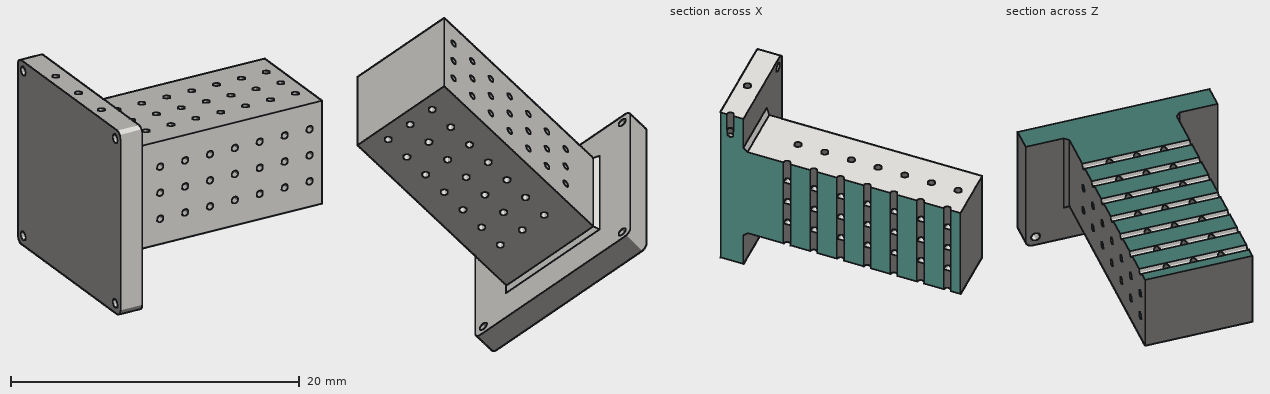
import cadquery as cq
import math

total_length = 18.0
flange_side = 14.11
flange_thickness = 1.75
flange_corner_radius = 0.5

column_side = 7.9
flare_size = 0.3

mount_hole_diameter = 0.65
mount_hole_spacing = 12.64

grid_hole_diameter = 0.5
grid_pitch = 2.0
grid_rows = 7
grid_columns = 3
grid_end_margin = 1.0

edge_hole_diameter = 0.5
edge_hole_drill_diameter = 0.43
edge_hole_pitch = 3.13
edge_hole_count = 3
edge_hole_front_offset = 0.75
edge_hole_step_depth = 1.5
edge_hole_drill_depth = 2.0
drill_point_angle = 118.0


def make_flange():
    """Square plate with rounded corners, front face on Y = 0."""
    plate = cq.Workplane("XY").box(
        flange_side, flange_thickness, flange_side, centered=(True, False, True)
    )
    return plate.edges("|Y").fillet(flange_corner_radius)


def make_column():
    """Square column running from the flange to the far end."""
    return (
        cq.Workplane("XZ", origin=(0, flange_thickness, 0))
        .rect(column_side, column_side)
        .extrude(flange_thickness - total_length)
    )


def make_flare():
    """Short four-sided 45 degree taper that widens the column where it meets the flange."""
    foot_side = column_side + 2 * flare_size
    return (
        cq.Workplane("XZ", origin=(0, flange_thickness, 0))
        .rect(foot_side, foot_side)
        .workplane(offset=-flare_size)
        .rect(column_side, column_side)
        .loft(ruled=True)
    )


def make_mount_holes():
    """Four holes through the flange, one near each corner."""
    return (
        cq.Workplane("XZ")
        .rect(mount_hole_spacing, mount_hole_spacing, forConstruction=True)
        .vertices()
        .circle(mount_hole_diameter / 2)
        .extrude(-flange_thickness)
    )


def make_vertical_grid_holes():
    """Column cross holes running along Z."""
    grid_center_y = total_length - grid_end_margin - (grid_rows - 1) * grid_pitch / 2
    return (
        cq.Workplane("XY", origin=(0, grid_center_y, 0))
        .rarray(grid_pitch, grid_pitch, grid_columns, grid_rows)
        .circle(grid_hole_diameter / 2)
        .extrude(column_side / 2, both=True)
    )


def make_edge_hole(x):
    """Stepped hole with a conical bottom, entering the flange from its top edge."""
    radius = edge_hole_diameter / 2
    drill_radius = edge_hole_drill_diameter / 2
    point_length = drill_radius / math.tan(math.radians(drill_point_angle / 2))
    top = flange_side / 2
    step = top - edge_hole_step_depth
    bottom = top - edge_hole_drill_depth
    return (
        cq.Workplane("XZ", origin=(x, edge_hole_front_offset, 0))
        .moveTo(0, top)
        .lineTo(radius, top)
        .lineTo(radius, step)
        .lineTo(drill_radius, step)
        .lineTo(drill_radius, bottom)
        .lineTo(0, bottom - point_length)
        .close()
        .revolve(360, (0, 0, 0), (0, 1, 0))
    )


vertical_grid_holes = make_vertical_grid_holes()
horizontal_grid_holes = vertical_grid_holes.rotate((0, 0, 0), (0, 1, 0), 90)

result = make_flange().union(make_flare()).union(make_column())
result = result.cut(make_mount_holes())
result = result.cut(vertical_grid_holes).cut(horizontal_grid_holes)
for index in range(edge_hole_count):
    hole_x = (index - (edge_hole_count - 1) / 2) * edge_hole_pitch
    result = result.cut(make_edge_hole(hole_x))